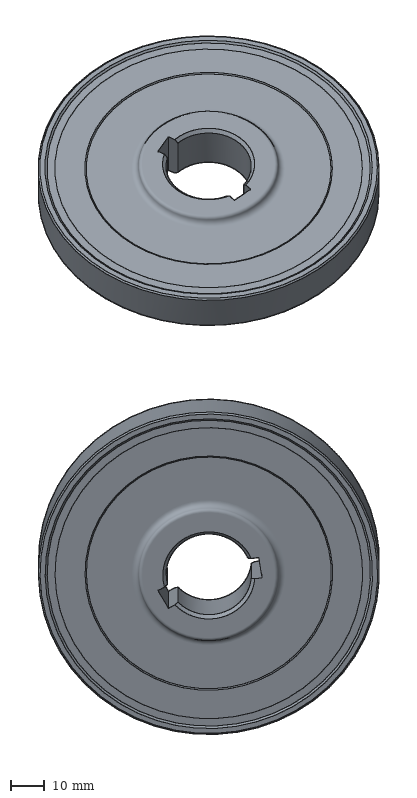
import cadquery as cq
import math

outer_diameter = 101.6
hub_width = 15.8
rim_width = 12.7

joint_diameter = 91.6

rim_edge_chamfer_width = 0.5
rim_edge_chamfer_height = 0.4
lip_inner_diameter = 97.5
lip_slope_width = 0.6
lip_height = 0.5

recess_diameter = 73.8
recess_slope_width = 0.4

hub_face_diameter = 39.5
hub_edge_radius = 1.1
hub_root_radius = 2.0
hub_side_slope = math.radians(75)

bore_diameter = 25.4
bore_chamfer = 1.0
keyway_width = 6.4
keyway_reach = 15.5
keyway_angles = (0, 200)

outer_radius = outer_diameter / 2
joint_radius = joint_diameter / 2
lip_radius = lip_inner_diameter / 2
recess_radius = recess_diameter / 2
hub_face_radius = hub_face_diameter / 2
bore_radius = bore_diameter / 2
hub_top = hub_width / 2
rim_top = rim_width / 2
web_top = rim_top - lip_height
hub_side_radius = hub_face_radius + hub_edge_radius * math.sin(hub_side_slope)
hub_side_z = hub_top - hub_edge_radius * (1 - math.cos(hub_side_slope))
hub_root_end_radius = hub_side_radius + hub_root_radius * math.sin(hub_side_slope)
recess_floor = hub_side_z - hub_root_radius * (1 - math.cos(hub_side_slope))


def revolve_outline(outline):
    """Close a radius-height outline and revolve it about Z."""
    return outline.close().revolve(360, (0, 0, 0), (0, 1, 0))


def make_wheel():
    """Hub and web in one piece, bored and keyed."""
    outline = (
        cq.Workplane("XZ")
        .moveTo(bore_radius, hub_top - bore_chamfer)
        .lineTo(bore_radius + bore_chamfer, hub_top)
        .lineTo(hub_face_radius, hub_top)
        .radiusArc((hub_side_radius, hub_side_z), hub_edge_radius)
        .radiusArc((hub_root_end_radius, recess_floor), -hub_root_radius)
        .lineTo(recess_radius - recess_slope_width, recess_floor)
        .lineTo(recess_radius, web_top)
        .lineTo(joint_radius, web_top)
        .lineTo(joint_radius, -web_top)
        .lineTo(recess_radius, -web_top)
        .lineTo(recess_radius - recess_slope_width, -recess_floor)
        .lineTo(hub_root_end_radius, -recess_floor)
        .radiusArc((hub_side_radius, -hub_side_z), -hub_root_radius)
        .radiusArc((hub_face_radius, -hub_top), hub_edge_radius)
        .lineTo(bore_radius + bore_chamfer, -hub_top)
        .lineTo(bore_radius, -(hub_top - bore_chamfer))
    )
    wheel = revolve_outline(outline)
    for angle in keyway_angles:
        wheel = wheel.cut(make_keyway_cutter(angle))
    return wheel


def make_keyway_cutter(angle):
    """Bar from the bore axis to the keyway floor, turned to its angle about Z."""
    bar = cq.Workplane("XY").box(keyway_reach, keyway_width, hub_width, centered=(False, True, True))
    return bar.rotate((0, 0, 0), (0, 0, 1), angle)


def make_rim():
    """Ring around the wheel, with a raised lip on both faces."""
    upper_points = [
        (joint_radius, web_top),
        (lip_radius - lip_slope_width, web_top),
        (lip_radius, rim_top),
        (outer_radius - rim_edge_chamfer_width, rim_top),
        (outer_radius, rim_top - rim_edge_chamfer_height),
    ]
    lower_points = [(radius, -height) for radius, height in reversed(upper_points)]
    return revolve_outline(cq.Workplane("XZ").polyline(upper_points + lower_points))


wheel = make_wheel()
rim = make_rim()

result = cq.Compound.makeCompound([wheel.val(), rim.val()])